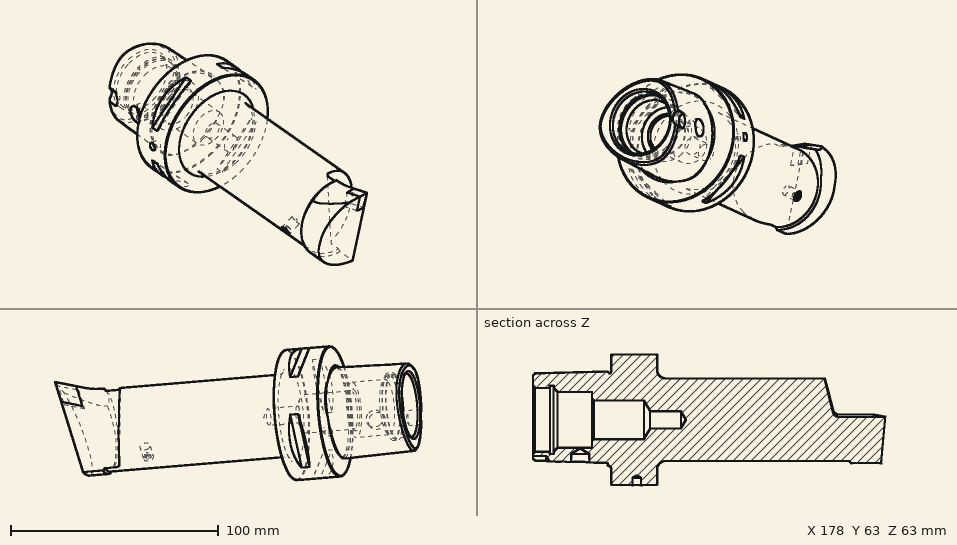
import cadquery as cq
import math

TOTAL_LENGTH = 178.0

SHANK_LENGTH = 36.0
LOBED_RADIUS = 22.0
LOBE_HEIGHT = 1.2
TAPER = 0.026
SHANK_CHAMFER = 1.0
SHANK_BACK_CHAMFER = 0.7
CURVE_POINTS = 48

FLANGE_START = 37.7
FLANGE_END = 60.0
FLANGE_RADIUS = 31.5
FLANGE_CHAMFER = 0.4
NECK_RADIUS = 22.0
NECK_FILLET = 1.8

GROOVE_X = 50.0
GROOVE_BOTTOM = 28.0
GROOVE_FLOOR_WIDTH = 4.0
GROOVE_RIM_WIDTH = 7.8
GROOVE_COUNT = 4
RIM_HOLE_RADIUS = 2.0
RIM_HOLE_DEPTH = 3.5

BAR_RADIUS = 20.0
COLLAR_RADIUS = 23.0
BAR_FILLET = 4.3

SHANK_HOLE_RADIUS = 4.3
SHANK_HOLE_X = 22.8
SHANK_HOLE_FLOOR = 16.4
NOTCH_LENGTH = 6.4
NOTCH_AXIS = 21.7
DRILL_HALF_ANGLE = 59.0

MOUTH_RADIUS = 16.4
BORE_RADIUS = 15.3
BORE_DEPTH = 8.2
BORE_GROOVE_WIDTH = 1.8
THREAD_RADIUS = 13.4
SHOULDER_X = 28.5
SHOULDER_HOLE_RADIUS = 10.1
DRILL_RADIUS = 9.3
DRILL_END = 53.4
COOLANT_RADIUS = 4.1
COOLANT_END = 71.2

HEAD_START = 152.2
HEAD_RADIUS = 21.0
HEAD_FLAT = 3.5
FLANK_RADIUS = 24.2
TIP_Z = 26.7
HEAD_TOP = 21.2
TOP_ARC_START = 154.9
TOP_ARC_END = 162.7
TOP_ARC_END_Z = 22.2
END_ANGLE = 17.5
END_RELIEF = 0.09
TOP_RELIEF = 0.22

RAKE_TILT = 3.2
FLUTE_WALL_X = 140.0
FLUTE_WALL_ANGLE = 14.0
FLUTE_FILLET = 2.7

INSERT_EDGE = 11.0
INSERT_THICKNESS = 4.0

SCREW_X = 136.0
SCREW_ANGLE = 30.0
SCREW_RADIUS = 2.5
SCREW_LENGTH = 7.1
SCREW_SINK = 0.4
SOCKET_ACROSS_CORNERS = 2.8
SOCKET_DEPTH = 2.1

OVERSIZE = 53.4

TOP_RISE_ANGLE = math.atan((TIP_Z - TOP_ARC_END_Z) / (TOTAL_LENGTH - TOP_ARC_END))
SCREW_BOTTOM = BAR_RADIUS - SCREW_SINK - SCREW_LENGTH

AXIS_START = cq.Vector(0, 0, 0)
AXIS_END = cq.Vector(1, 0, 0)


def revolved(points):
    """Solid of revolution about X from (x, radius) points."""
    return cq.Workplane("XY").polyline(points).close().revolve(360, (0, 0, 0), (1, 0, 0))


def cone_length(radius):
    """Length of a drill point of the given radius."""
    return radius / math.tan(math.radians(DRILL_HALF_ANGLE))


def drill(radius, length, start, direction):
    """Drill with a conical point; the length covers its cylindrical part."""
    cylinder = cq.Solid.makeCylinder(radius, length, start, direction)
    point_start = start + direction.normalized() * length
    point = cq.Solid.makeCone(radius, 0, cone_length(radius), point_start, direction)
    return cylinder.fuse(point)


def lobed_wire(x, inset):
    """Rounded three-lobed outline across X, one lobe on +Y, pulled in by the inset."""
    radius = LOBED_RADIUS - inset

    def point(t):
        angle = 2 * math.pi * t
        y = radius * math.cos(angle) + LOBE_HEIGHT * (2 * math.cos(2 * angle) - math.cos(4 * angle))
        z = radius * math.sin(angle) - LOBE_HEIGHT * (2 * math.sin(2 * angle) + math.sin(4 * angle))
        return cq.Vector(x, y, z)

    points = [point(i / CURVE_POINTS) for i in range(CURVE_POINTS)]
    return cq.Wire.assembleEdges([cq.Edge.makeSpline(points, periodic=True)])


def lobed_length(x_start, inset_start, x_end, inset_end):
    """Solid between two three-lobed outlines."""
    wires = [lobed_wire(x_start, inset_start), lobed_wire(x_end, inset_end)]
    return cq.Workplane(cq.Solid.makeLoft(wires, True))


def make_shank():
    mouth_inset = TAPER * SHANK_LENGTH
    chamfer_inset = TAPER * (SHANK_LENGTH - SHANK_CHAMFER)
    chamfer = lobed_length(0, mouth_inset + SHANK_CHAMFER, SHANK_CHAMFER, chamfer_inset)
    taper = lobed_length(SHANK_CHAMFER, chamfer_inset, SHANK_LENGTH, 0)
    back_end = SHANK_LENGTH + SHANK_BACK_CHAMFER
    back = lobed_length(SHANK_LENGTH, 0, back_end, SHANK_BACK_CHAMFER)
    return chamfer.union(taper).union(back)


def shank_cuts():
    """Radial hole in the -Y flat and a notch open at the mouth."""
    hole_start = cq.Vector(SHANK_HOLE_X, -OVERSIZE, 0)
    hole = drill(SHANK_HOLE_RADIUS, OVERSIZE - SHANK_HOLE_FLOOR, hole_start, cq.Vector(0, 1, 0))
    notch = drill(SHANK_HOLE_RADIUS, NOTCH_LENGTH, cq.Vector(0, -NOTCH_AXIS, 0), cq.Vector(1, 0, 0))
    return [hole, notch]


def bore_cut():
    groove_end = BORE_DEPTH + BORE_GROOVE_WIDTH
    return revolved([
        (0, 0),
        (0, MOUTH_RADIUS),
        (MOUTH_RADIUS - BORE_RADIUS, BORE_RADIUS),
        (BORE_DEPTH, BORE_RADIUS),
        (BORE_DEPTH, MOUTH_RADIUS),
        (groove_end, MOUTH_RADIUS),
        (groove_end, BORE_RADIUS),
        (groove_end + BORE_RADIUS - THREAD_RADIUS, THREAD_RADIUS),
        (SHOULDER_X, THREAD_RADIUS),
        (SHOULDER_X, SHOULDER_HOLE_RADIUS),
        (SHOULDER_X + SHOULDER_HOLE_RADIUS - DRILL_RADIUS, DRILL_RADIUS),
        (DRILL_END, DRILL_RADIUS),
        (DRILL_END + cone_length(DRILL_RADIUS) - cone_length(COOLANT_RADIUS), COOLANT_RADIUS),
        (COOLANT_END, COOLANT_RADIUS),
        (COOLANT_END + cone_length(COOLANT_RADIUS), 0),
    ])


def make_flange():
    """Flange ring with the round, filleted neck that carries the shank."""
    rim = FLANGE_RADIUS - FLANGE_CHAMFER
    fillet_start = FLANGE_START - NECK_FILLET
    fillet_top = NECK_RADIUS + NECK_FILLET
    fillet_mid = (
        fillet_start + NECK_FILLET * math.sqrt(0.5),
        fillet_top - NECK_FILLET * math.sqrt(0.5),
    )
    return (
        cq.Workplane("XY")
        .moveTo(fillet_start, 0)
        .lineTo(fillet_start, NECK_RADIUS)
        .threePointArc(fillet_mid, (FLANGE_START, fillet_top))
        .lineTo(FLANGE_START, rim)
        .lineTo(FLANGE_START + FLANGE_CHAMFER, FLANGE_RADIUS)
        .lineTo(FLANGE_END - FLANGE_CHAMFER, FLANGE_RADIUS)
        .lineTo(FLANGE_END, rim)
        .lineTo(FLANGE_END, 0)
        .close()
        .revolve(360, (0, 0, 0), (1, 0, 0))
    )


def flange_cuts():
    """Gripper grooves between the Y and Z directions, and a drilled hole in the rim."""
    half_floor = GROOVE_FLOOR_WIDTH / 2
    half_rim = GROOVE_RIM_WIDTH / 2
    groove = (
        cq.Workplane("XZ")
        .polyline([
            (GROOVE_X - half_floor, GROOVE_BOTTOM),
            (GROOVE_X + half_floor, GROOVE_BOTTOM),
            (GROOVE_X + half_rim, FLANGE_RADIUS),
            (GROOVE_X - half_rim, FLANGE_RADIUS),
        ])
        .close()
        .extrude(OVERSIZE / 2, both=True)
        .val()
    )
    cuts = []
    for i in range(GROOVE_COUNT):
        angle = 360 / GROOVE_COUNT * (i + 0.5)
        cuts.append(groove.rotate(AXIS_START, AXIS_END, angle))
    hole_start = cq.Vector(GROOVE_X, -FLANGE_RADIUS, 0)
    cuts.append(drill(RIM_HOLE_RADIUS, RIM_HOLE_DEPTH, hole_start, cq.Vector(0, 1, 0)))
    return cuts


def make_bar():
    arc_offset = BAR_FILLET - (COLLAR_RADIUS - BAR_RADIUS)
    arc_run = math.sqrt(BAR_FILLET**2 - arc_offset**2)
    fillet_end = FLANGE_END + arc_run
    mid_angle = math.acos(arc_offset / BAR_FILLET) / 2
    mid_x = fillet_end - BAR_FILLET * math.sin(mid_angle)
    mid_radius = BAR_RADIUS + BAR_FILLET * (1 - math.cos(mid_angle))
    return (
        cq.Workplane("XY")
        .moveTo(FLANGE_END, 0)
        .lineTo(FLANGE_END, COLLAR_RADIUS)
        .threePointArc((mid_x, mid_radius), (fillet_end, BAR_RADIUS))
        .lineTo(HEAD_START, BAR_RADIUS)
        .lineTo(HEAD_START, 0)
        .close()
        .revolve(360, (0, 0, 0), (1, 0, 0))
    )


def head_section():
    """Cross-section prism: round below the axis, flat, then a rounded flank up to the tip."""
    flank_center_y = FLANK_RADIUS - HEAD_RADIUS
    flank_end_y = HEAD_RADIUS / 2
    flank_end_z = HEAD_FLAT + math.sqrt(FLANK_RADIUS**2 - (flank_end_y - flank_center_y) ** 2)
    flank_mid = FLANK_RADIUS * math.sqrt(0.5)
    return (
        cq.Workplane("YZ", origin=(HEAD_START, 0, 0))
        .moveTo(-HEAD_RADIUS, 0)
        .lineTo(-HEAD_RADIUS, HEAD_FLAT)
        .threePointArc((flank_center_y - flank_mid, HEAD_FLAT + flank_mid), (flank_end_y, flank_end_z))
        .lineTo(HEAD_RADIUS, 0)
        .threePointArc((0, -HEAD_RADIUS), (-HEAD_RADIUS, 0))
        .close()
        .extrude(TOTAL_LENGTH - HEAD_START)
    )


def head_root():
    """45 degree cone that blends the head into the bar."""
    length = TOTAL_LENGTH - HEAD_START
    return cq.Workplane(cq.Solid.makeCone(
        BAR_RADIUS, BAR_RADIUS + length, length, cq.Vector(HEAD_START, 0, 0), cq.Vector(1, 0, 0)))


def relieved(outline, slope_x, slope_z):
    """Prism of an XZ outline whose sides drop by the slopes with depth toward -Y."""
    face = cq.Face.makeFromWires(outline.val())
    drop = cq.Vector(-slope_x, -1, -slope_z) * OVERSIZE
    return cq.Workplane(cq.Solid.extrudeLinear(face.translate(-drop), drop * 2))


def top_limit():
    """Material below the top face: flat, concave arc, then a straight rise to the tip."""
    arc_radius = (TOP_ARC_END - TOP_ARC_START) / math.sin(TOP_RISE_ANGLE)
    arc_mid = (
        TOP_ARC_START + arc_radius * math.sin(TOP_RISE_ANGLE / 2),
        HEAD_TOP + arc_radius * (1 - math.cos(TOP_RISE_ANGLE / 2)),
    )
    outline = (
        cq.Workplane("XZ")
        .moveTo(HEAD_START, -OVERSIZE)
        .lineTo(HEAD_START, HEAD_TOP)
        .lineTo(TOP_ARC_START, HEAD_TOP)
        .threePointArc(arc_mid, (TOP_ARC_END, TOP_ARC_END_Z))
        .lineTo(TOTAL_LENGTH, TIP_Z)
        .lineTo(TOTAL_LENGTH, -OVERSIZE)
        .close()
        .wire()
    )
    return relieved(outline, 0, TOP_RELIEF)


def end_limit():
    """Material behind the leaning end face, which runs through the tip."""
    lean = math.tan(math.radians(END_ANGLE)) * OVERSIZE
    outline = (
        cq.Workplane("XZ")
        .polyline([
            (TOTAL_LENGTH + lean, TIP_Z + OVERSIZE),
            (TOTAL_LENGTH - lean, TIP_Z - OVERSIZE),
            (HEAD_START - OVERSIZE, TIP_Z - OVERSIZE),
            (HEAD_START - OVERSIZE, TIP_Z + OVERSIZE),
        ])
        .close()
        .wire()
    )
    return relieved(outline, END_RELIEF, 0)


def make_head():
    """Head section trimmed by its root cone, top face and end face."""
    return head_section().intersect(head_root()).intersect(top_limit()).intersect(end_limit())


def tilt_with_rake(shape):
    """Turn a shape built on the XZ plane about the tip line into the rake face."""
    tip = cq.Vector(TOTAL_LENGTH, 0, TIP_Z)
    return shape.rotate(tip, tip + cq.Vector(1.8, 0, 0), RAKE_TILT)


def flute_cut():
    """Open space ahead of the rake face, closed by a leaning wall with a rounded corner."""
    lean = math.tan(math.radians(FLUTE_WALL_ANGLE))
    wall_foot = FLUTE_WALL_X + BAR_RADIUS * lean
    cut = (
        cq.Workplane("XY", origin=(0, 0, -OVERSIZE))
        .polyline([
            (wall_foot, 0),
            (TOTAL_LENGTH + OVERSIZE, 0),
            (TOTAL_LENGTH + OVERSIZE, OVERSIZE),
            (wall_foot - OVERSIZE * lean, OVERSIZE),
        ])
        .close()
        .extrude(2 * OVERSIZE)
        .edges(cq.NearestToPointSelector((wall_foot, 0, 0)))
        .fillet(FLUTE_FILLET)
    )
    return tilt_with_rake(cut)


def insert_prism():
    """Rhombic prism with one corner on the tip, let into the rake face."""
    end_angle = math.radians(END_ANGLE)
    tip = (TOTAL_LENGTH, TIP_Z)
    along_top = (-INSERT_EDGE * math.cos(TOP_RISE_ANGLE), -INSERT_EDGE * math.sin(TOP_RISE_ANGLE))
    along_end = (-INSERT_EDGE * math.sin(end_angle), -INSERT_EDGE * math.cos(end_angle))
    top_corner = (tip[0] + along_top[0], tip[1] + along_top[1])
    end_corner = (tip[0] + along_end[0], tip[1] + along_end[1])
    far_corner = (top_corner[0] + along_end[0], top_corner[1] + along_end[1])
    prism = (
        cq.Workplane("XZ")
        .polyline([tip, top_corner, far_corner, end_corner])
        .close()
        .extrude(INSERT_THICKNESS)
    )
    return tilt_with_rake(prism)


def turned_to_screw(shape):
    """Turn a shape that faces -Y down to the direction of the set screw."""
    return shape.rotate(AXIS_START, AXIS_END, SCREW_ANGLE)


def screw_hole():
    start = cq.Vector(SCREW_X, -SCREW_BOTTOM, 0)
    return turned_to_screw(cq.Solid.makeCylinder(SCREW_RADIUS, OVERSIZE, start, cq.Vector(0, -1, 0)))


def make_set_screw():
    screw = (
        cq.Workplane("XZ", origin=(SCREW_X, -SCREW_BOTTOM, 0))
        .circle(SCREW_RADIUS)
        .extrude(SCREW_LENGTH)
        .faces("<Y")
        .workplane()
        .polygon(6, SOCKET_ACROSS_CORNERS)
        .cutBlind(-SOCKET_DEPTH)
    )
    return turned_to_screw(screw)


def make_holder(blank):
    """One-piece holder: blank with bore, holes, grooves and the insert pocket cut."""
    holder = blank.cut(bore_cut()).cut(insert_prism())
    for cut in [*shank_cuts(), *flange_cuts(), screw_hole()]:
        holder = holder.cut(cq.Workplane(cut))
    return holder


blank = make_shank().union(make_flange()).union(make_bar()).union(make_head()).cut(flute_cut())
holder = make_holder(blank)
insert = blank.intersect(insert_prism())
set_screw = make_set_screw()

result = cq.Compound.makeCompound([holder.val(), insert.val(), set_screw.val()])